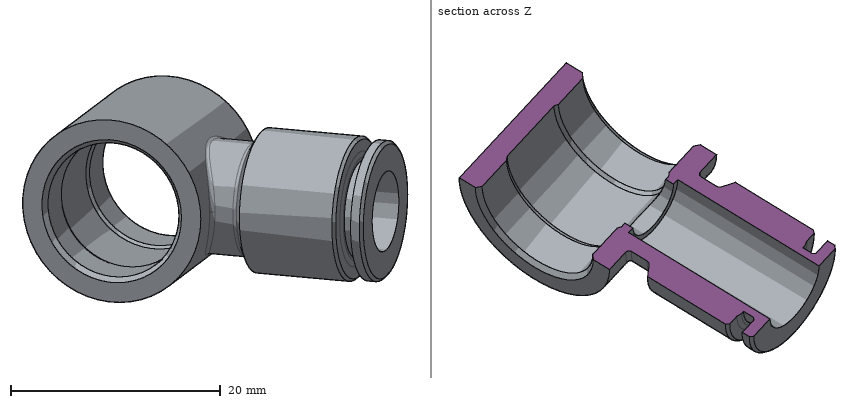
import cadquery as cq

ring_radius = 9.0
ring_width = 17.0
bore_radius = 6.6
groove_radius = 6.85
groove_width = 8.22
groove_taper = 0.4
mouth_radius = 7.05
mouth_depth = 0.5

overall_length = 33.7
branch_end = overall_length - ring_radius
neck_radius = 5.53
neck_ring_fillet = 0.4
cone_start = 11.5
cone_end = 12.37
neck_cone_fillet = 0.5
selection_margin = 0.05
body_radius = 6.98
body_end = 22.0
body_edge_length = 0.3
body_edge_drop = 0.27
lip_radius = 5.55
lip_root_radius = 5.02
lip_length = 0.17
collar_radius = 4.72
flange_radius = 6.77
flange_start = 23.52
flange_chamfer = 0.3
collar_flare = 0.2

passage_radius = 3.2
socket_radius = 3.88
socket_start = 7.82


def ring():
    return cq.Workplane("XZ").circle(ring_radius).extrude(ring_width / 2, both=True)


def ring_with_neck():
    neck = cq.Workplane("YZ").circle(neck_radius).extrude(cone_start)
    joined = ring().union(neck)
    return joined.edges("%BSPLINE").fillet(neck_ring_fillet)


def branch_head():
    """Revolve the cone, body, lip, collar and flange about the X axis."""
    neck_overlap_start = cone_start - neck_cone_fillet
    lip_end = body_end + lip_length
    profile = (
        cq.Workplane("XY")
        .moveTo(neck_overlap_start, 0)
        .lineTo(neck_overlap_start, neck_radius)
        .lineTo(cone_start, neck_radius)
        .lineTo(cone_end, body_radius)
        .lineTo(body_end - body_edge_length, body_radius)
        .lineTo(body_end, body_radius - body_edge_drop)
        .lineTo(body_end, lip_radius)
        .lineTo(lip_end, lip_root_radius)
        .lineTo(lip_end, collar_radius)
        .lineTo(flange_start - collar_flare, collar_radius)
        .lineTo(flange_start, collar_radius + collar_flare)
        .lineTo(flange_start, flange_radius)
        .lineTo(branch_end - flange_chamfer, flange_radius)
        .lineTo(branch_end, flange_radius - flange_chamfer)
        .lineTo(branch_end, 0)
        .close()
    )
    return profile.revolve(360, (0, 0, 0), (1, 0, 0))


def ring_bore():
    """Revolve the bore, countersunk at both ends with a wide taper-ended groove, about the Y axis."""
    end = ring_width / 2
    groove_end = groove_width / 2
    profile = (
        cq.Workplane("XY")
        .moveTo(0, -end)
        .lineTo(mouth_radius, -end)
        .lineTo(bore_radius, mouth_depth - end)
        .lineTo(bore_radius, -groove_end)
        .lineTo(groove_radius, groove_taper - groove_end)
        .lineTo(groove_radius, groove_end - groove_taper)
        .lineTo(bore_radius, groove_end)
        .lineTo(bore_radius, end - mouth_depth)
        .lineTo(mouth_radius, end)
        .lineTo(0, end)
        .close()
    )
    return profile.revolve(360, (0, 0, 0), (0, 1, 0))


def passage():
    """Bore out of the ring that opens into a wider socket running to the branch end."""
    narrow = cq.Workplane("YZ").circle(passage_radius).extrude(socket_start)
    socket = cq.Workplane("YZ", origin=(socket_start, 0, 0)).circle(socket_radius)
    return narrow.union(socket.extrude(branch_end - socket_start))


def round_neck_cone_corner(solid):
    corner = cq.selectors.BoxSelector(
        (cone_start - selection_margin, -body_radius, -body_radius),
        (cone_start + selection_margin, body_radius, body_radius),
        boundingbox=True,
    )
    return solid.edges(corner).fillet(neck_cone_fillet)


outer_body = round_neck_cone_corner(ring_with_neck().union(branch_head()))
result = outer_body.cut(ring_bore()).cut(passage())